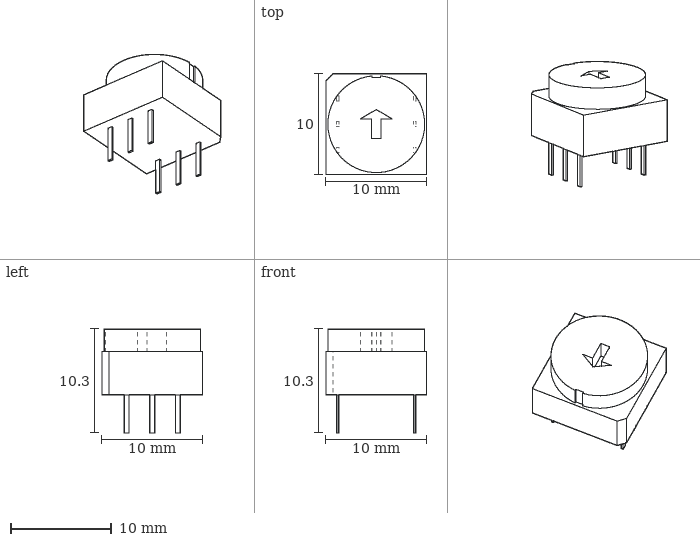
import cadquery as cq

total_height = 10.3
body_side = 10.0
pin_length = 3.8
body_height = 4.3
corner_chamfer = 0.71

rotor_diameter = 9.6
rotor_height = total_height - pin_length - body_height
notch_width = 0.81
notch_floor_y = 4.62

arrow_tip_y = 1.45
arrow_shoulder_y = 0.53
arrow_tail_y = -1.41
arrow_head_half_width = 1.57
arrow_stem_half_width = 0.48
arrow_depth = rotor_height

pin_thickness = 0.22
pin_width = 0.5
pin_row_spacing = 7.62
pin_pitch = 2.54
pins_per_row = 3

body_top = pin_length + body_height


def make_body():
    """Square housing with one bevelled corner at -X, +Y."""
    block = cq.Workplane("XY", origin=(0, 0, pin_length)).rect(body_side, body_side).extrude(body_height)
    return block.edges("|Z").edges("<X").edges(">Y").chamfer(corner_chamfer)


def make_rotor():
    """Round dial with an index notch in its +Y rim and an arrow cut down to the housing."""
    dial = cq.Workplane("XY", origin=(0, 0, body_top)).circle(rotor_diameter / 2).extrude(rotor_height)

    notch_length = rotor_diameter / 2 - notch_floor_y
    notch = (
        cq.Workplane("XY", origin=(0, notch_floor_y + notch_length / 2, body_top))
        .rect(notch_width, notch_length)
        .extrude(rotor_height)
    )

    arrow = (
        cq.Workplane("XY", origin=(0, 0, total_height))
        .moveTo(0, arrow_tip_y)
        .lineTo(arrow_head_half_width, arrow_shoulder_y)
        .lineTo(arrow_stem_half_width, arrow_shoulder_y)
        .lineTo(arrow_stem_half_width, arrow_tail_y)
        .lineTo(-arrow_stem_half_width, arrow_tail_y)
        .lineTo(-arrow_stem_half_width, arrow_shoulder_y)
        .lineTo(-arrow_head_half_width, arrow_shoulder_y)
        .close()
        .extrude(-arrow_depth)
    )
    return dial.cut(notch).cut(arrow)


def make_pins():
    """Two rows of flat pins below the housing."""
    return (
        cq.Workplane("XY")
        .rarray(pin_row_spacing, pin_pitch, 2, pins_per_row)
        .rect(pin_thickness, pin_width)
        .extrude(pin_length)
    )


result = make_body().union(make_rotor()).union(make_pins())